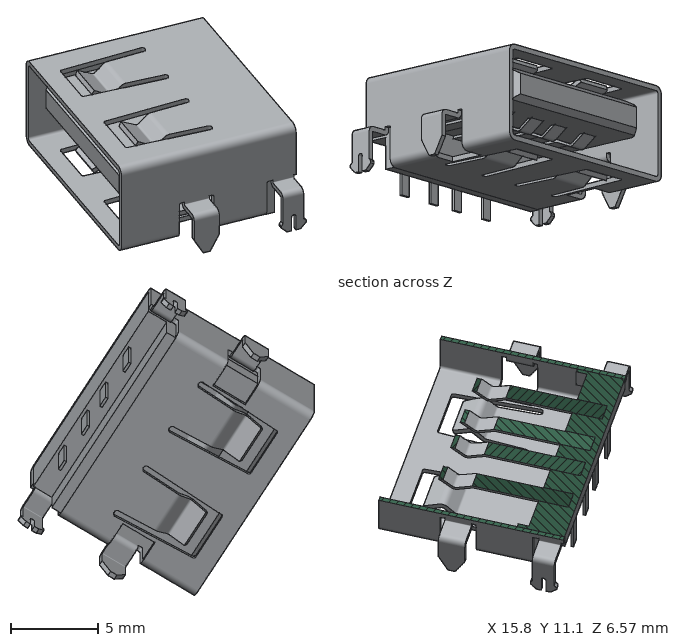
import cadquery as cq

shell_width = 13.1
shell_depth = 11.05
shell_height = 5.7
sheet = 0.3
corner_radius = 0.48
inner_corner_radius = corner_radius - sheet
half_width = shell_width / 2
inner_half_width = half_width - sheet
ceiling = shell_height - sheet

opening_top = 2.43
opening_corner = 0.11
rear_opening_front = 9.2
mid_opening_front = 3.66
mid_opening_back = 5.83
mid_floor_edge = 4.91

overall_width = 15.85
leg_span = overall_width / 2
leg_top = 2.23
leg_bottom = -0.38
leg_bend = 0.05
mid_leg_center = 4.75
mid_leg_width = 1.58
mid_leg_tip_width = 0.43
mid_leg_taper_start = 0.63
rear_leg_front = 9.57
rear_leg_back = 10.89
barb_width = 1.58
barb_tip_bottom = -0.02
barb_tip_top = 0.11
barb_root = 0.25
slit_width = 0.27
slit_top = 0.68

spring_offset = 3.0
window_front = 1.2
window_back = 6.61
window_front_width = 3.07
window_back_width = 3.58
window_corner = 0.13
slot_end_radius = 0.16
finger_tip_width = 2.35
finger_root_width = 2.79
finger_tip = 2.06
finger_bend_start = 3.98
finger_valley = 3.2
finger_valley_drop = 0.62
finger_tip_drop = 0.02
finger_bend_radius = 0.32
finger_corner = 0.27

tongue_width = 11.19
tongue_top = 4.8
tongue_bottom = 2.75
tongue_corner = 0.82
tongue_front = 0.54
tongue_bevel_depth = 0.82
tongue_lower_bevel_depth = 0.45
tongue_nose_width = 10.02
tongue_nose_bottom = 3.06
tongue_nose_top = 4.3
wall_front = 8.83
wall_back = 9.81
overhang_bottom = 1.89
ear_length = 0.63
ear_width = 0.22
ear_bottom = 1.62
ear_top = 4.14

contact_offsets = (-3.5, -1.0, 1.0, 3.5)
contact_thickness = 0.16
contact_width = 1.01
tail_width = 0.63
tail_bottom = -0.87
tail_middle = shell_depth - 0.25
contact_tip = 2.54
contact_tip_z = 3.05
contact_low = 3.8
contact_low_z = 2.19
contact_bow_end = 4.91
contact_bend_radius = 0.32


def block(x_range, y_range, z_range):
    """Box between pairs of limits."""
    x0, x1 = x_range
    y0, y1 = y_range
    z0, z1 = z_range
    return cq.Workplane("XY").box(x1 - x0, y1 - y0, z1 - z0, centered=False).translate((x0, y0, z0))


def mirrored_pair(body):
    """The body together with its mirror image across the middle plane."""
    return body.union(body.mirror("YZ"))


def bent_strip(points, bend_radius, thickness, width):
    """Strip centred on x = 0 whose middle plane follows (y, z) points."""
    corners = [cq.Vector(0, y, z) for y, z in points]
    path = cq.Wire.makePolygon(corners)
    path = path.fillet(bend_radius, path.Vertices()[1:-1])
    direction = corners[1] - corners[0]
    start = cq.Plane(origin=corners[0], xDir=(1, 0, 0), normal=direction)
    return cq.Workplane(start).rect(width, thickness).sweep(cq.Workplane(path))


def trapezoid(front, back, front_width, back_width):
    """Tall prism, symmetric about x = 0, that tapers in plan along Y."""
    outline = [
        (-front_width / 2, front),
        (front_width / 2, front),
        (back_width / 2, back),
        (-back_width / 2, back),
    ]
    return cq.Workplane("XY").polyline(outline).close().extrude(shell_height)


def shell_tube():
    def bar(width, height, radius):
        section = cq.Workplane("XZ").rect(width, height).extrude(-shell_depth)
        return section.edges("|Y").fillet(radius)

    outer = bar(shell_width, shell_height, corner_radius)
    inner = bar(2 * inner_half_width, shell_height - 2 * sheet, inner_corner_radius)
    return outer.cut(inner).translate((0, 0, shell_height / 2))


def side_openings():
    x_range = (half_width - corner_radius, leg_span)
    mid = block(x_range, (mid_opening_front, mid_opening_back), (0, opening_top))
    rear = block(x_range, (rear_opening_front, shell_depth), (0, opening_top))
    mid_floor = block((mid_floor_edge, half_width), (mid_opening_front, mid_opening_back), (0, sheet))
    mid = mid.edges("|X and >Z").fillet(opening_corner)
    rear = rear.edges("|X and >Z and <Y").fillet(opening_corner)
    rear_floor = block((-half_width, half_width), (rear_opening_front, shell_depth), (0, corner_radius))
    return mirrored_pair(mid.union(mid_floor).union(rear)).union(rear_floor)


def leg(outline):
    """Leg on the +X side: a bent sheet trimmed to a closed (y, z) outline."""
    back = shell_depth
    under = leg_top - sheet
    outer = block((inner_half_width, leg_span), (0, back), (leg_bottom, leg_top))
    outer = outer.edges("|Y and >X and >Z").fillet(leg_bend + sheet)
    root = block((inner_half_width, half_width), (0, back), (under, opening_top))
    inner = block((0, leg_span - sheet), (0, back), (leg_bottom, under))
    inner = inner.edges("|Y and >X and >Z").fillet(leg_bend)
    bent = outer.union(root).cut(inner)
    bent = bent.edges(cq.selectors.NearestToPointSelector((inner_half_width, back / 2, under)))
    bent = bent.fillet(leg_bend + sheet)
    bent = bent.edges(cq.selectors.NearestToPointSelector((half_width, back / 2, leg_top)))
    bent = bent.fillet(leg_bend)
    return bent.intersect(outline.extrude(leg_span))


def mid_leg():
    half = mid_leg_width / 2
    half_tip = mid_leg_tip_width / 2
    outline = cq.Workplane("YZ").polyline([
        (mid_leg_center - half, opening_top),
        (mid_leg_center - half, mid_leg_taper_start),
        (mid_leg_center - half_tip, leg_bottom),
        (mid_leg_center + half_tip, leg_bottom),
        (mid_leg_center + half, mid_leg_taper_start),
        (mid_leg_center + half, opening_top),
    ]).close()
    return leg(outline)


def rear_leg():
    """Leg with a barb on each edge and a slit that lets its two prongs spring together."""
    barb_back = shell_depth
    barb_front = barb_back - barb_width
    barb_run = barb_tip_bottom - leg_bottom
    outline = cq.Workplane("YZ").polyline([
        (rear_leg_front, opening_top),
        (rear_leg_front, barb_root),
        (barb_front, barb_tip_top),
        (barb_front, barb_tip_bottom),
        (barb_front + barb_run, leg_bottom),
        (barb_back - barb_run, leg_bottom),
        (barb_back, barb_tip_bottom),
        (barb_back, barb_tip_top),
        (rear_leg_back, barb_root),
        (rear_leg_back, opening_top),
    ]).close()
    slit_center = (barb_front + barb_back) / 2
    slit_height = slit_top - leg_bottom
    slit = cq.Workplane("YZ").center(slit_center, leg_bottom).slot2D(2 * slit_height, slit_width, 90)
    return leg(outline).cut(slit.extrude(leg_span))


def finger_window():
    window = trapezoid(window_front, window_back, window_front_width, window_back_width)
    window = window.edges("|Z and <Y").fillet(window_corner)
    blank = trapezoid(finger_tip, window_back, finger_tip_width, finger_root_width)
    slots = window.cut(blank).edges("|Z and >Y").fillet(slot_end_radius)
    bend_zone = window.intersect(
        block((-shell_width, shell_width), (0, finger_bend_start + finger_bend_radius), (0, shell_height))
    )
    return slots.union(bend_zone).intersect(
        block((-shell_width, shell_width), (0, shell_depth), (shell_height / 2, shell_height))
    )


def spring_finger():
    """Finger bent down into the shell and up again at its free end."""
    flat = shell_height - sheet / 2
    strip = bent_strip(
        [
            (window_back, flat),
            (finger_bend_start, flat),
            (finger_valley, flat - finger_valley_drop),
            (finger_tip, flat - finger_tip_drop),
        ],
        finger_bend_radius, sheet, window_back_width,
    )
    blank = trapezoid(finger_tip - sheet / 2, window_back, finger_tip_width, finger_root_width)
    return strip.intersect(blank.edges("|Z and <Y").fillet(finger_corner))


def placed_fingers(top_right):
    """Four copies: left and right in the top, and mirrored in the floor."""
    top = mirrored_pair(top_right.translate((spring_offset, 0, 0)))
    return top.union(top.mirror("XY").translate((0, 0, shell_height)))


def make_shell():
    shell = shell_tube().cut(side_openings())
    shell = shell.union(mirrored_pair(mid_leg().union(rear_leg())))
    return shell.cut(placed_fingers(finger_window())).union(placed_fingers(spring_finger()))


def tongue():
    """Blade with rounded upper edges and a nose bevelled on all four sides."""
    half = tongue_width / 2
    nose_half = tongue_nose_width / 2
    bevel_back = tongue_front + tongue_bevel_depth
    lower_bevel_back = tongue_front + tongue_lower_bevel_depth
    body = block((-half, half), (tongue_front, wall_front), (tongue_bottom, tongue_top))
    body = body.edges("|Y and >Z").fillet(tongue_corner)
    plan = cq.Workplane("XY").polyline([
        (-nose_half, tongue_front),
        (nose_half, tongue_front),
        (half, bevel_back),
        (half, wall_front),
        (-half, wall_front),
        (-half, bevel_back),
    ]).close().extrude(shell_height)
    profile = cq.Workplane("YZ").polyline([
        (tongue_front, tongue_nose_bottom),
        (lower_bevel_back, tongue_bottom),
        (wall_front, tongue_bottom),
        (wall_front, tongue_top),
        (bevel_back, tongue_top),
        (tongue_front, tongue_nose_top),
    ]).close().extrude(half, both=True)
    return body.intersect(plan).intersect(profile)


def make_insulator(contacts):
    x_range = (-inner_half_width, inner_half_width)
    wall = block(x_range, (wall_front, wall_back), (sheet, ceiling))
    wall = wall.union(block(x_range, (wall_back, shell_depth), (overhang_bottom, ceiling)))
    wall = wall.edges("|Y and >Z").fillet(inner_corner_radius)
    foot = block(x_range, (rear_opening_front, wall_back), (0, sheet))
    ear = block(
        (inner_half_width - ear_width, inner_half_width),
        (wall_front - ear_length, wall_front),
        (ear_bottom, ear_top),
    )
    insulator = wall.union(foot).union(mirrored_pair(ear)).union(tongue())
    return insulator.cut(contacts)


def make_contact(x):
    """Contact bowed below the tongue, running back through the wall and down to its tail."""
    flat = tongue_bottom - contact_thickness / 2
    strip = bent_strip(
        [
            (contact_tip, contact_tip_z),
            (contact_low, contact_low_z),
            (contact_bow_end, flat),
            (tail_middle, flat),
            (tail_middle, tail_bottom),
        ],
        contact_bend_radius, contact_thickness, contact_width,
    )
    side = (contact_width - tail_width) / 2
    left_edge = -contact_width / 2
    tail_zone = (wall_back, shell_depth), (tail_bottom, tongue_bottom - contact_thickness)
    left_trim = block((left_edge, left_edge + side), *tail_zone)
    strip = strip.cut(mirrored_pair(left_trim))
    return strip.translate((x, 0, 0))


shell = make_shell()
contacts = [make_contact(x) for x in contact_offsets]
contact_set = cq.Workplane(cq.Compound.makeCompound([c.val() for c in contacts]))
insulator = make_insulator(contact_set)
result = cq.Compound.makeCompound([shell.val(), insulator.val(), *[c.val() for c in contacts]])